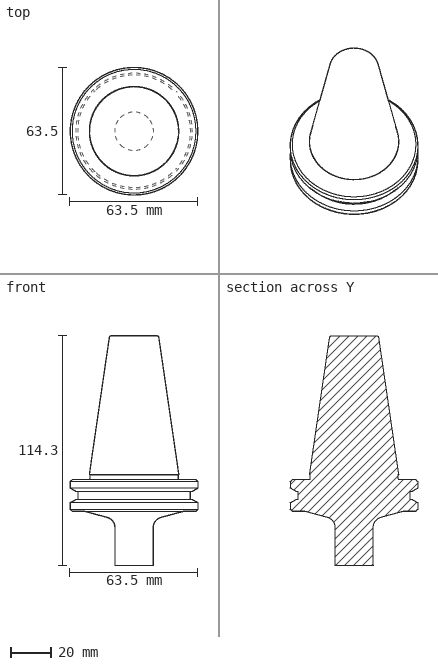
import cadquery as cq
import math

total_length = 114.3
shank_radius = 19.2 / 2
shank_length = 19.1

blend_radius = 5.0
underside_angle = math.radians(15)

flange_radius = 63.5 / 2
flange_bottom = 27.0
flange_top = 42.9
flange_chamfer = 1.0
groove_radius = 56 / 2
groove_middle = (flange_bottom + flange_top) / 2
groove_floor_width = 3.9
groove_shoulder_radius = 28.9
groove_wall_angle = math.radians(30)

neck_radius = 44.0 / 2
neck_fillet = 0.6
taper_start = 45.4
taper_radius = 22.3
neck_step = taper_radius - neck_radius
taper_slope = 7 / 48
tip_fillet = 1.0

blend_center_radius = shank_radius + blend_radius


def blend_point(turn):
    """Point on the blend after turning away from the shank by the given angle."""
    radius = blend_center_radius - blend_radius * math.cos(turn)
    height = shank_length + blend_radius * math.sin(turn)
    return radius, height


blend_turn = math.pi / 2 - underside_angle
blend_end = blend_point(blend_turn)
underside_rise = flange_bottom - blend_end[1]
underside_radius = blend_end[0] + underside_rise / math.tan(underside_angle)

half_floor = groove_floor_width / 2
wall_depth = flange_radius - groove_shoulder_radius
half_mouth = half_floor + wall_depth * math.tan(groove_wall_angle)

taper_angle = math.atan(taper_slope)
tip_radius = taper_radius - taper_slope * (total_length - taper_start)
tip_flat_radius = tip_radius - tip_fillet * math.tan((math.pi / 2 - taper_angle) / 2)
tip_fillet_start_radius = tip_flat_radius + tip_fillet * math.cos(taper_angle)
tip_fillet_start_height = total_length - tip_fillet * (1 - math.sin(taper_angle))

profile = (
    cq.Workplane("XZ")
    .moveTo(0, 0)
    .lineTo(shank_radius, 0)
    .lineTo(shank_radius, shank_length)
    .threePointArc(blend_point(blend_turn / 2), blend_end)
    .lineTo(underside_radius, flange_bottom)
    .lineTo(flange_radius - flange_chamfer, flange_bottom)
    .lineTo(flange_radius, flange_bottom + flange_chamfer)
    .lineTo(flange_radius, groove_middle - half_mouth)
    .lineTo(groove_shoulder_radius, groove_middle - half_floor)
    .lineTo(groove_radius, groove_middle - half_floor)
    .lineTo(groove_radius, groove_middle + half_floor)
    .lineTo(groove_shoulder_radius, groove_middle + half_floor)
    .lineTo(flange_radius, groove_middle + half_mouth)
    .lineTo(flange_radius, flange_top - flange_chamfer)
    .lineTo(flange_radius - flange_chamfer, flange_top)
    .lineTo(neck_radius + neck_fillet, flange_top)
    .radiusArc((neck_radius, flange_top + neck_fillet), neck_fillet)
    .lineTo(neck_radius, taper_start - neck_step)
    .lineTo(taper_radius, taper_start)
    .lineTo(tip_fillet_start_radius, tip_fillet_start_height)
    .radiusArc((tip_flat_radius, total_length), -tip_fillet)
    .lineTo(0, total_length)
    .close()
)

result = profile.revolve(360, (0, 0, 0), (0, 1, 0))